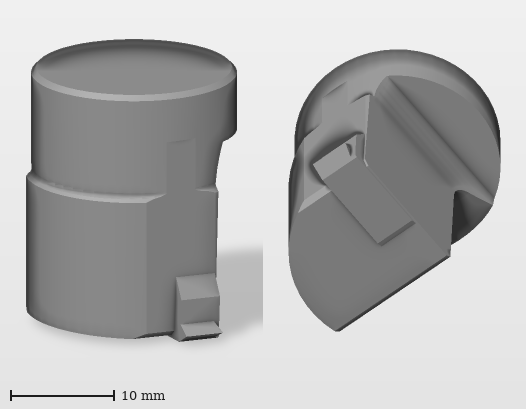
import cadquery as cq
import math

HEIGHT = 25
HEAD_RADIUS = 20 / 2
HEAD_CHAMFER = 0.5
SHANK_RADIUS = 10.58
NECK_TOP_Z = 15.18
NECK_CHAMFER_HEIGHT = 0.28
SHANK_TOP_Z = 14.38

LEAD_ANGLE = 2
INSERT_ANGLE = 15
SHANK_BOTTOM_Z = 0.42
EDGE_CHAMFER = 0.55

LEFT_WALL = -3.6
LEFT_ARC_START_Z = 13.55
LEFT_ARC_RADIUS = 3.62
LEFT_ARC_ANGLE = 63

BACK_WALL = 3.68
BACK_ARC_START_Z = 14.5
BACK_ARC_RADIUS = 11.25
HEAD_UNDERSIDE_Z = 19.1

FLAT_DISTANCE = 9.88
FLAT_TOP_Z = 20.2

INSERT_FRONT = -0.75
INSERT_BACK = 3.48
INSERT_INNER = 1.5
INSERT_INNER_CHAMFER_LENGTH = 0.65
INSERT_INNER_CHAMFER_HEIGHT = 0.32
INSERT_BOTTOM_Z = 0.12
INSERT_TOP_Z = 6.38
INSERT_LAND = 11.12
INSERT_LAND_TOP_Z = 4.38
INSERT_LAND_BOTTOM_Z = 1.92
TIP_REACH = 12.45
TIP_Z = 1.05
TIP_HEEL = 10.88
TIP_BACK_Y = -0.05

CUT_SIZE = 37.5


def lean(shape):
    """Tip a shape about the X axis by the lead angle."""
    return shape.rotate((0, 0, 0), (1, 0, 0), -LEAD_ANGLE)


def turn(shape):
    """Turn a shape about Z to the direction of the insert."""
    return shape.rotate((0, 0, 0), (0, 0, 1), -INSERT_ANGLE)


def lean_and_turn(shape):
    """Place a shape drawn along X and Y in the leaning, turned frame of the insert."""
    return turn(lean(shape))


def make_blank():
    """Turned blank with a rounded and chamfered step between head and shank."""
    fillet_end_radius = SHANK_RADIUS - NECK_CHAMFER_HEIGHT
    fillet_end_z = SHANK_TOP_Z + NECK_CHAMFER_HEIGHT
    fillet_width = fillet_end_radius - HEAD_RADIUS
    fillet_height = NECK_TOP_Z - fillet_end_z
    diagonal = math.sqrt(0.5)
    fillet_middle = (
        fillet_end_radius - fillet_width * diagonal,
        NECK_TOP_Z - fillet_height * diagonal,
    )
    return (
        cq.Workplane("XZ")
        .moveTo(0, 0)
        .lineTo(SHANK_RADIUS, 0)
        .lineTo(SHANK_RADIUS, SHANK_TOP_Z)
        .lineTo(fillet_end_radius, fillet_end_z)
        .threePointArc(fillet_middle, (HEAD_RADIUS, NECK_TOP_Z))
        .lineTo(HEAD_RADIUS, HEIGHT - HEAD_CHAMFER)
        .lineTo(HEAD_RADIUS - HEAD_CHAMFER, HEIGHT)
        .lineTo(0, HEIGHT)
        .close()
        .revolve(360, (0, 0), (0, 1))
    )


def left_relief():
    """Material removed on the left, including the chamfer below its wall."""
    angle = math.radians(LEFT_ARC_ANGLE)

    def arc_point(swept):
        return (
            LEFT_WALL - LEFT_ARC_RADIUS * (1 - math.cos(swept)),
            LEFT_ARC_START_Z + LEFT_ARC_RADIUS * math.sin(swept),
        )

    slope_start = arc_point(angle)
    slope_length = CUT_SIZE / 2
    slope_end = (
        slope_start[0] - slope_length * math.sin(angle),
        slope_start[1] + slope_length * math.cos(angle),
    )
    return lean_and_turn(
        cq.Workplane("XZ")
        .moveTo(*slope_end)
        .lineTo(*slope_start)
        .threePointArc(arc_point(angle / 2), (LEFT_WALL, LEFT_ARC_START_Z))
        .lineTo(LEFT_WALL, SHANK_BOTTOM_Z + EDGE_CHAMFER)
        .lineTo(LEFT_WALL + EDGE_CHAMFER, SHANK_BOTTOM_Z)
        .lineTo(slope_end[0], SHANK_BOTTOM_Z)
        .close()
        .extrude(CUT_SIZE / 2, both=True)
    )


def back_relief():
    """Material removed behind the back wall and below the head."""
    arc_rise = HEAD_UNDERSIDE_Z - BACK_ARC_START_Z
    arc_end_angle = math.asin(arc_rise / BACK_ARC_RADIUS)

    def arc_point(swept):
        return (
            BACK_ARC_RADIUS * (1 - math.cos(swept)),
            BACK_ARC_START_Z + BACK_ARC_RADIUS * math.sin(swept),
        )

    relief = (
        cq.Workplane("YZ")
        .moveTo(0, -CUT_SIZE / 2)
        .lineTo(0, BACK_ARC_START_Z)
        .threePointArc(arc_point(arc_end_angle / 2), arc_point(arc_end_angle))
        .lineTo(CUT_SIZE, HEAD_UNDERSIDE_Z)
        .lineTo(CUT_SIZE, -CUT_SIZE / 2)
        .close()
        .extrude(CUT_SIZE, both=True)
    )
    return lean_and_turn(relief.translate((0, BACK_WALL, 0)))


def bottom_cut():
    """Material removed below the leaning bottom face."""
    block = cq.Workplane("XY").box(CUT_SIZE, CUT_SIZE, CUT_SIZE, centered=(True, True, False))
    return lean_and_turn(block.translate((0, 0, SHANK_BOTTOM_Z - CUT_SIZE)))


def seating_flat():
    """Material removed in front of the flat that carries the insert."""
    block = cq.Workplane("XY").box(CUT_SIZE, CUT_SIZE, FLAT_TOP_Z, centered=(False, True, False))
    return turn(block.translate((FLAT_DISTANCE, 0, 0)))


def flat_chamfer():
    """Wedge removed from the bottom edge of the flat."""
    wedge = (
        cq.Workplane("XZ")
        .moveTo(FLAT_DISTANCE - EDGE_CHAMFER, SHANK_BOTTOM_Z)
        .lineTo(FLAT_DISTANCE + EDGE_CHAMFER, SHANK_BOTTOM_Z + 2 * EDGE_CHAMFER)
        .lineTo(FLAT_DISTANCE + EDGE_CHAMFER, SHANK_BOTTOM_Z)
        .close()
        .extrude(CUT_SIZE / 2, both=True)
    )
    return lean_and_turn(wedge)


def make_insert():
    """Cutting insert with a pointed tip at its lower outer end."""
    bar = (
        cq.Workplane("XZ", origin=(0, INSERT_FRONT, 0))
        .moveTo(INSERT_INNER, INSERT_BOTTOM_Z + INSERT_INNER_CHAMFER_HEIGHT)
        .lineTo(INSERT_INNER + INSERT_INNER_CHAMFER_LENGTH, INSERT_BOTTOM_Z)
        .lineTo(TIP_HEEL, INSERT_BOTTOM_Z)
        .lineTo(TIP_REACH, TIP_Z)
        .lineTo(INSERT_LAND, INSERT_LAND_BOTTOM_Z)
        .lineTo(INSERT_LAND, INSERT_LAND_TOP_Z)
        .lineTo(FLAT_DISTANCE, INSERT_TOP_Z)
        .lineTo(INSERT_INNER, INSERT_TOP_Z)
        .close()
        .extrude(INSERT_FRONT - INSERT_BACK)
    )
    beyond_land = cq.Workplane("XY").box(CUT_SIZE, CUT_SIZE, CUT_SIZE, centered=(False, True, True))
    beyond_land = lean_and_turn(beyond_land.translate((INSERT_LAND, 0, 0)))
    behind_tip = cq.Workplane("XY").box(CUT_SIZE, CUT_SIZE, CUT_SIZE, centered=(True, False, True))
    behind_tip = behind_tip.translate((0, TIP_BACK_Y, 0))
    return lean_and_turn(bar).cut(beyond_land.intersect(behind_tip))


def make_holder(insert):
    """Blank with its relief cuts, seating flat and a pocket fitting the insert."""
    holder = make_blank()
    for cutter in (
        left_relief(),
        back_relief(),
        bottom_cut(),
        seating_flat(),
        flat_chamfer(),
        insert,
    ):
        holder = holder.cut(cutter)
    return holder.solids()


insert = make_insert()
holder = make_holder(insert)
result = cq.Compound.makeCompound([holder.val(), insert.val()])